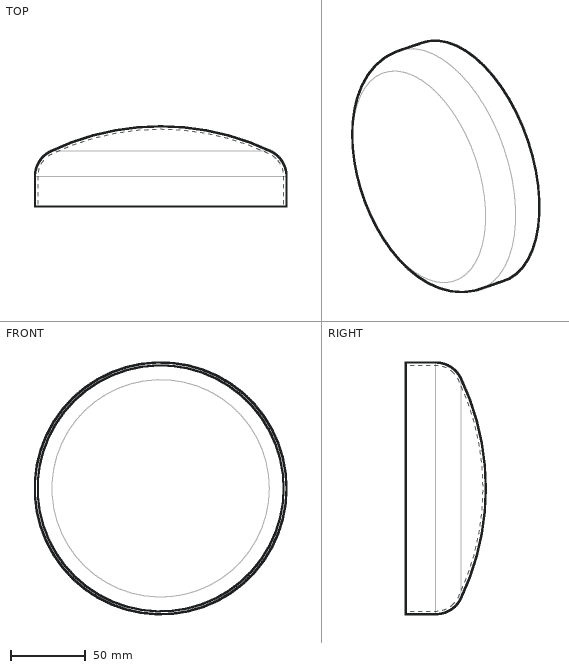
import cadquery as cq
import math

outer_diameter = 168.3
wall = 2.0
skirt_length = 20.0
knuckle_ratio = 0.1
crown_inner_radius = outer_diameter
knuckle_inner_radius = knuckle_ratio * outer_diameter

outer_radius = outer_diameter / 2
inner_radius = outer_radius - wall

knuckle_center_x = inner_radius - knuckle_inner_radius
joint_angle = math.asin(knuckle_center_x / (crown_inner_radius - knuckle_inner_radius))
crown_center_y = skirt_length - knuckle_center_x / math.tan(joint_angle)


def knuckle_point(radius, angle):
    """Point on a knuckle arc, with the angle measured from the +Y axis."""
    return (
        knuckle_center_x + radius * math.sin(angle),
        skirt_length + radius * math.cos(angle),
    )


def crown_point(radius, angle):
    """Point on a crown arc, with the angle measured from the +Y axis."""
    return (radius * math.sin(angle), crown_center_y + radius * math.cos(angle))


knuckle_outer_radius = knuckle_inner_radius + wall
crown_outer_radius = crown_inner_radius + wall
knuckle_mid_angle = (joint_angle + math.pi / 2) / 2
crown_mid_angle = joint_angle / 2

half_section = (
    cq.Workplane("XY")
    .moveTo(inner_radius, 0)
    .lineTo(outer_radius, 0)
    .lineTo(outer_radius, skirt_length)
    .threePointArc(
        knuckle_point(knuckle_outer_radius, knuckle_mid_angle),
        knuckle_point(knuckle_outer_radius, joint_angle),
    )
    .threePointArc(
        crown_point(crown_outer_radius, crown_mid_angle),
        crown_point(crown_outer_radius, 0),
    )
    .lineTo(*crown_point(crown_inner_radius, 0))
    .threePointArc(
        crown_point(crown_inner_radius, crown_mid_angle),
        crown_point(crown_inner_radius, joint_angle),
    )
    .threePointArc(
        knuckle_point(knuckle_inner_radius, knuckle_mid_angle),
        knuckle_point(knuckle_inner_radius, math.pi / 2),
    )
    .close()
)

result = half_section.revolve(360, (0, 0, 0), (0, 1, 0))